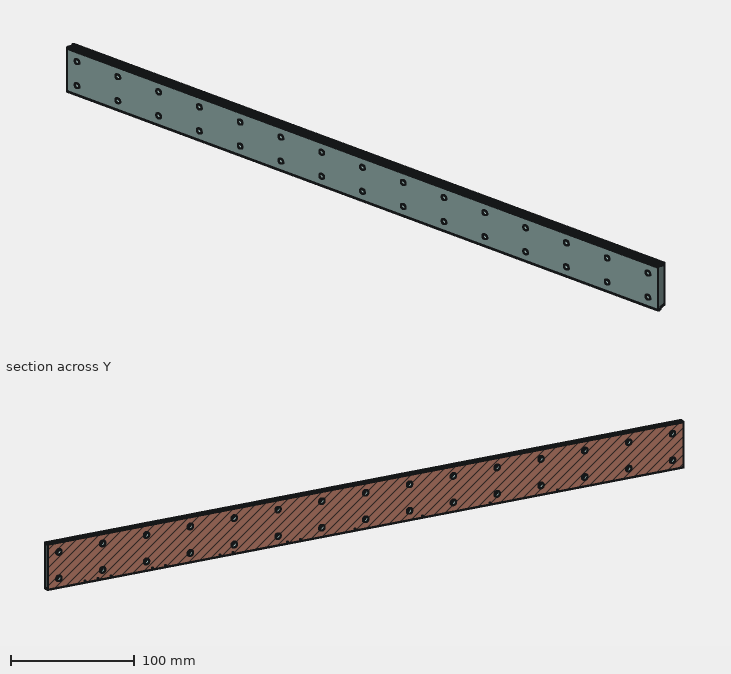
import cadquery as cq

length = 580.0
thickness = 9.5
height = 42.0
front_y = -thickness / 2
back_y = thickness / 2
half_height = height / 2

front_chamfer = 0.5
step_depth = 1.15
bevel_start_y = -1.65
bevel_end_y = bevel_start_y + step_depth
step_half_height = half_height - step_depth

groove_radius = 1.7
groove_y = 2.05
groove_axis_lift = 1.05

hole_rows = 2
hole_diameter = 4.5
holes_per_row = 15
hole_pitch = 40.0
hole_row_spacing = 23.0


def make_bar():
    """Extrude the stepped cross-section along X."""
    upper_half = [
        (front_y, half_height - front_chamfer),
        (front_y + front_chamfer, half_height),
        (bevel_start_y, half_height),
        (bevel_end_y, step_half_height),
        (back_y, step_half_height),
    ]
    lower_half = [(y, -z) for y, z in reversed(upper_half)]
    section = cq.Workplane("YZ").polyline(upper_half + lower_half).close()
    return section.extrude(length / 2, both=True)


def make_grooves():
    """Rods that cut the circular grooves into the upper and lower steps."""
    axis_z = step_half_height + groove_axis_lift
    axes = [(groove_y, axis_z), (groove_y, -axis_z)]
    rods = cq.Workplane("YZ").pushPoints(axes).circle(groove_radius)
    return rods.extrude(length / 2, both=True)


def make_holes():
    """Cylinders for the two rows of through holes."""
    grid = cq.Workplane("XZ").rarray(hole_pitch, hole_row_spacing, holes_per_row, hole_rows)
    return grid.circle(hole_diameter / 2).extrude(thickness, both=True)


result = make_bar().cut(make_grooves()).cut(make_holes())